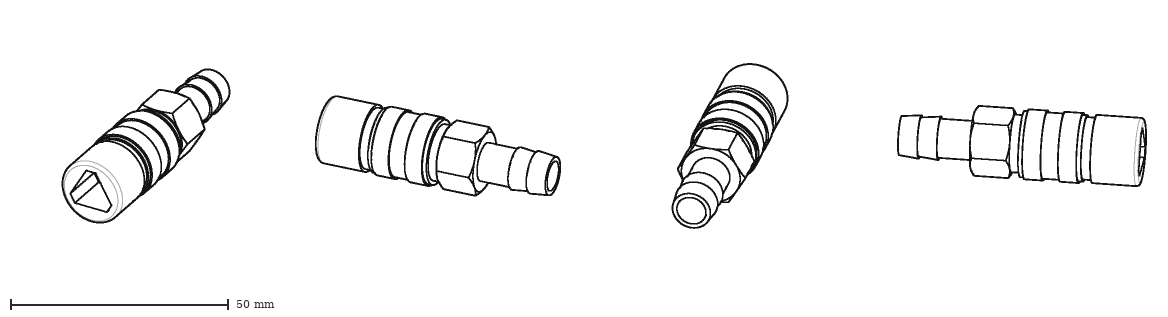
import cadquery as cq
import math

length = 56.0

head_radius = 7.9
head_end = 11.0
head_fillet = 0.8
groove_radius = 7.2
sleeve_radius = 7.7
sleeve_start = 13.15
sleeve_end = 27.7
band_diameter = 16.2
band_width = 4.25
band_inset = 1.0

neck_radius = 6.65
hex_flats = 14.0
hex_start = 29.85
hex_end = 39.05
hex_chamfer_angle = 30.0

tail_radius = 4.55
barb_radius = 5.05
barb_length = 4.55
barb_count = 2

key_flat_distance = 3.85
key_corner_distance = 5.6
key_depth = head_end
chamber_radius = 4.5
chamber_end = sleeve_end
bore_radius = 3.5


def cylinder(radius, start, end):
    """Round section on the Y axis between two stations."""
    plane = cq.Workplane("XZ", origin=(0, start, 0))
    return plane.circle(radius).extrude(start - end)


def revolve_profile(points):
    """Solid of revolution from (radius, Y) points."""
    return cq.Workplane("XY").polyline(points).close().revolve(360, (0, 0, 0), (0, 1, 0))


def socket_head():
    return cylinder(head_radius, 0, head_end).faces("<Y").edges().fillet(head_fillet)


def sleeve():
    body = cylinder(sleeve_radius, sleeve_start, sleeve_end)
    for start in (sleeve_start + band_inset, sleeve_end - band_inset - band_width):
        body = body.union(cylinder(band_diameter / 2, start, start + band_width))
    return body


def hexagon():
    """Hexagonal prism with corners along X, turned conically at both ends."""
    corner_radius = hex_flats / math.sqrt(3)
    face_radius = hex_flats / 2
    chamfer_height = (corner_radius - face_radius) * math.tan(math.radians(hex_chamfer_angle))
    prism = (
        cq.Workplane("XZ", origin=(0, hex_start, 0))
        .polygon(6, 2 * corner_radius)
        .extrude(hex_start - hex_end)
    )
    envelope = revolve_profile([
        (0, hex_start),
        (face_radius, hex_start),
        (corner_radius, hex_start + chamfer_height),
        (corner_radius, hex_end - chamfer_height),
        (face_radius, hex_end),
        (0, hex_end),
    ])
    return prism.intersect(envelope)


def hose_tail():
    tail = cylinder(tail_radius, hex_end, length)
    for index in range(barb_count):
        tip = length - index * barb_length
        root = tip - barb_length
        barb = revolve_profile([(0, root), (barb_radius, root), (tail_radius, tip), (0, tip)])
        tail = tail.union(barb)
    return tail


def key_socket():
    """Triangular pocket, flat side down, with its three corners cut off."""
    half_width = (2 * key_flat_distance - key_corner_distance) / math.sqrt(3)
    corner_radius = math.hypot(half_width, key_corner_distance)
    half_angle = math.degrees(math.atan2(half_width, key_corner_distance))
    points = []
    for direction in (90, 210, 330):
        for offset in (-half_angle, half_angle):
            angle = math.radians(direction + offset)
            points.append((corner_radius * math.cos(angle), corner_radius * math.sin(angle)))
    return cq.Workplane("XZ").polyline(points).close().extrude(-key_depth)


outside = (
    socket_head()
    .union(cylinder(groove_radius, head_end, sleeve_start))
    .union(sleeve())
    .union(cylinder(neck_radius, sleeve_end, hex_start))
    .union(hexagon())
    .union(hose_tail())
)

result = (
    outside
    .cut(key_socket())
    .cut(cylinder(chamber_radius, key_depth, chamber_end))
    .cut(cylinder(bore_radius, chamber_end, length))
)